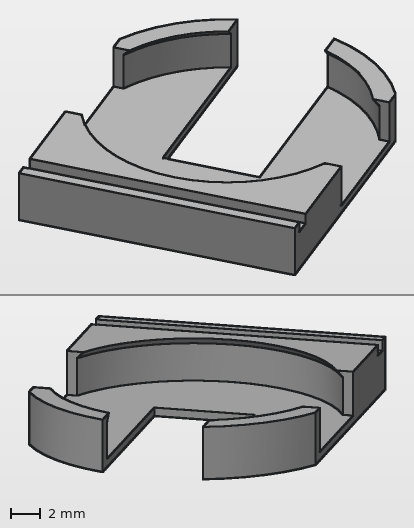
import cadquery as cq
import math

width = 20.0
length = 24.15
height = 3.7
floor_thickness = 0.6

slot_width = 7.0
slot_start_y = 10.2

outer_radius = 11.5
center_y = length - math.sqrt(outer_radius**2 - (slot_width / 2) ** 2)

pocket_radius = 10.3
rim_radius = 9.9
lip_height = 0.45

channel_width = 9.0

groove_start_y = 0.85
groove_width = 1.18
groove_depth = 0.75


def box_from(x_size, y_start, y_end, z_start, z_end):
    """Box centred on X = 0 between the given Y and Z limits."""
    return (
        cq.Workplane("XY")
        .box(x_size, y_end - y_start, z_end - z_start, centered=(True, False, False))
        .translate((0, y_start, z_start))
    )


def make_body():
    front = box_from(width, 0, center_y, 0, height)
    disc = cq.Workplane("XY").center(0, center_y).circle(outer_radius).extrude(height)
    rear = disc.intersect(box_from(width, center_y, center_y + outer_radius, 0, height))
    return front.union(rear)


def make_pocket():
    """Revolved half profile: straight wall below, tapering in to the rim."""
    return (
        cq.Workplane("XZ")
        .moveTo(0, floor_thickness)
        .lineTo(pocket_radius, floor_thickness)
        .lineTo(pocket_radius, height - lip_height)
        .lineTo(rim_radius, height)
        .lineTo(0, height)
        .close()
        .revolve(360, (0, 0), (0, 1))
        .translate((0, center_y, 0))
    )


channel = box_from(
    width,
    center_y - channel_width / 2,
    center_y + channel_width / 2,
    floor_thickness,
    height,
)
slot = box_from(slot_width, slot_start_y, center_y + outer_radius, 0, height)
groove = box_from(
    width,
    groove_start_y,
    groove_start_y + groove_width,
    height - groove_depth,
    height,
)

result = make_body().cut(make_pocket()).cut(channel).cut(slot).cut(groove)